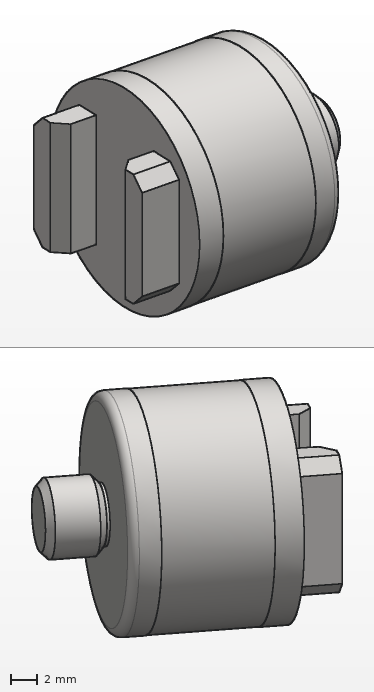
import cadquery as cq


overall_length = 22.35

band_diameter = 19.05
barrel_diameter = 19.0
body_length = 13.72
base_band_length = 2.29
top_band_length = 2.54
rim_radius = 0.76

stud_diameter = 6.35
neck_diameter = 4.95
stud_length = 5.08
neck_length = 0.254
stud_chamfer = 0.635

lug_outer_x = 6.9
lug_inner_x = 3.66
lug_height = 11.25
lug_length = overall_length - body_length - stud_length
lug_chamfer = 1.12


def disc(diameter, start_y, length):
    """Solid cylinder along +Y from start_y."""
    plane = cq.Workplane("XZ", origin=(0, start_y, 0))
    return plane.circle(diameter / 2).extrude(-length)


def make_body():
    """Barrel with its two end bands and the rounded rim at the stud end."""
    base_band = disc(band_diameter, 0, base_band_length)
    top_band = disc(band_diameter, body_length - top_band_length, top_band_length)
    top_band = top_band.faces(">Y").edges().fillet(rim_radius)
    barrel = disc(barrel_diameter, 0, body_length - top_band_length)
    return barrel.union(base_band).union(top_band)


def make_stud():
    """Headed stud on a short neck, chamfered at both ends of the head."""
    neck = disc(neck_diameter, body_length, neck_length)
    head = disc(stud_diameter, body_length + neck_length, stud_length - neck_length)
    head = head.faces("<Y or >Y").edges().chamfer(stud_chamfer)
    return neck.union(head)


def make_lug():
    """Lug on the +X side, with chamfered outer corners and inner tip edge."""
    width = lug_outer_x - lug_inner_x
    lug = cq.Workplane("XY").box(width, lug_length, lug_height)
    lug = lug.translate((lug_inner_x + width / 2, -lug_length / 2, 0))
    lug = lug.edges("|Y and >X").chamfer(lug_chamfer)
    return lug.edges("|Z and <X and <Y").chamfer(lug_chamfer)


right_lug = make_lug()
left_lug = right_lug.mirror("YZ")
result = make_body().union(make_stud()).union(right_lug).union(left_lug)